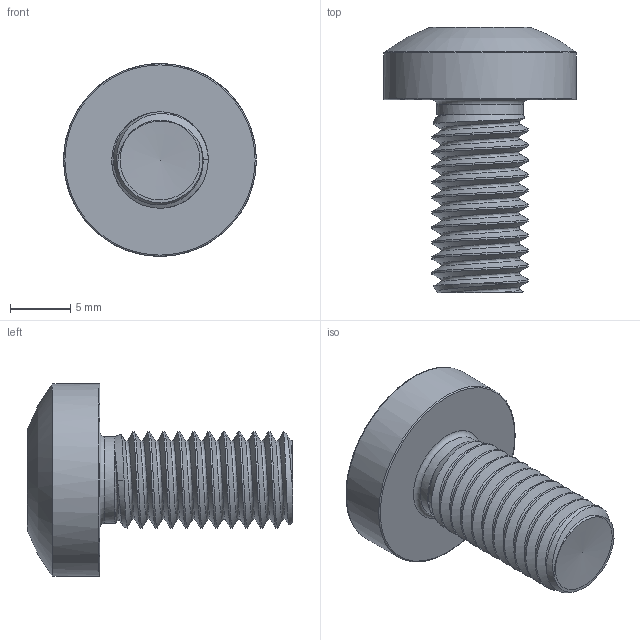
import cadquery as cq
import math


head_diameter = 16.0
head_height = 6.0
dome_radius = 13.0
crown_flat_diameter = 8.34
dome_edge_fillet = 0.1
underside_edge_fillet = 0.1

thread_diameter = 8.0
pitch = 1.25
screw_length = 16.0
sharp_height = pitch * math.sqrt(3) / 2
thread_depth = sharp_height * 17 / 24
crest_radius = thread_diameter / 2
root_radius = crest_radius - thread_depth
root_round = sharp_height / 6
flank_angle = math.radians(30)
groove_overcut = 0.05
groove_start = -screw_length - 0.7 * pitch
full_turns = 12
runout_turns = 0.75
runout_rise = 0.45

neck_radius = crest_radius - sharp_height * 3 / 8
neck_length = pitch
neck_fillet = 0.4
taper_length = 1.05

tip_radius = 3.55
tip_chamfer_angle = 30.0
dish_radius = 3.32
dish_angle = 3.0


def make_head():
    """Cylindrical head with a spherical dome and a flat crown."""
    head_radius = head_diameter / 2
    crown_radius = crown_flat_diameter / 2
    dome_centre = head_height - math.sqrt(dome_radius**2 - crown_radius**2)
    shoulder_height = dome_centre + math.sqrt(dome_radius**2 - head_radius**2)
    middle_radius = (head_radius + crown_radius) / 2
    middle_height = dome_centre + math.sqrt(dome_radius**2 - middle_radius**2)
    profile = (
        cq.Workplane("XZ")
        .moveTo(0, 0)
        .lineTo(head_radius, 0)
        .lineTo(head_radius, shoulder_height)
        .threePointArc((middle_radius, middle_height), (crown_radius, head_height))
        .lineTo(0, head_height)
        .close()
    )
    head = profile.revolve(360, (0, 0, 0), (0, 1, 0))
    shoulder_edge = cq.NearestToPointSelector((0, 0, shoulder_height))
    head = head.edges(shoulder_edge).fillet(dome_edge_fillet)
    return head.faces("<Z").edges().fillet(underside_edge_fillet)


def make_neck():
    """Plain neck that flares into the underside of the head."""
    flare_radius = neck_radius + neck_fillet
    arc_offset = neck_fillet * math.sqrt(0.5)
    profile = (
        cq.Workplane("XZ")
        .moveTo(0, -neck_length)
        .lineTo(neck_radius, -neck_length)
        .lineTo(neck_radius, -neck_fillet)
        .threePointArc((flare_radius - arc_offset, arc_offset - neck_fillet), (flare_radius, 0))
        .lineTo(0, 0)
        .close()
    )
    return profile.revolve(360, (0, 0, 0), (0, 1, 0))


def make_thread_blank():
    """Rod at crest diameter, tapered at both ends, with a shallow conical dish in the tip."""
    chamfer_length = (crest_radius - tip_radius) / math.tan(math.radians(tip_chamfer_angle))
    dish_depth = dish_radius * math.tan(math.radians(dish_angle))
    profile = (
        cq.Workplane("XZ")
        .moveTo(0, -neck_length)
        .lineTo(-neck_radius, -neck_length)
        .lineTo(-crest_radius, -neck_length - taper_length)
        .lineTo(-crest_radius, chamfer_length - screw_length)
        .lineTo(-tip_radius, -screw_length)
        .lineTo(-dish_radius, -screw_length)
        .lineTo(0, dish_depth - screw_length)
        .close()
    )
    return profile.revolve(360, (0, 0, 0), (0, 1, 0))


def make_groove_profile(height):
    """Groove section on the +X side: straight flanks joined by a rounded root."""
    tangent_radius = root_radius + root_round / 2
    tangent_half_width = root_round * math.cos(flank_angle)
    outer_radius = crest_radius + groove_overcut
    outer_half_width = tangent_half_width + (outer_radius - tangent_radius) * math.tan(flank_angle)
    return (
        cq.Workplane("XZ")
        .moveTo(tangent_radius, height - tangent_half_width)
        .lineTo(outer_radius, height - outer_half_width)
        .lineTo(outer_radius, height + outer_half_width)
        .lineTo(tangent_radius, height + tangent_half_width)
        .threePointArc((root_radius, height), (tangent_radius, height - tangent_half_width))
        .close()
    )


def make_main_groove():
    """Full-depth right-hand groove, running past the tip; its path has one helix per turn."""
    turns = []
    for turn in range(full_turns):
        base = cq.Vector(0, 0, groove_start + turn * pitch)
        turns.extend(cq.Wire.makeHelix(pitch, pitch, root_radius, base).Edges())
    path = cq.Wire.assembleEdges(turns)
    return make_groove_profile(groove_start).sweep(path, isFrenet=True)


def make_runout_groove():
    """Last part of the groove, which climbs outward on a cone until it leaves the shank."""
    cone_angle = math.atan(runout_rise / pitch)
    slant_pitch = pitch / math.cos(cone_angle)
    start = groove_start + full_turns * pitch
    path = cq.Wire.makeHelix(
        slant_pitch,
        runout_turns * slant_pitch,
        root_radius,
        cq.Vector(0, 0, start),
        angle=math.degrees(cone_angle),
    )
    return make_groove_profile(start).sweep(path, isFrenet=True)


groove = make_main_groove().union(make_runout_groove())
thread = make_thread_blank().cut(groove)
screw = make_head().union(make_neck()).union(thread)
result = screw.rotate((0, 0, 0), (1, 0, 0), -90)